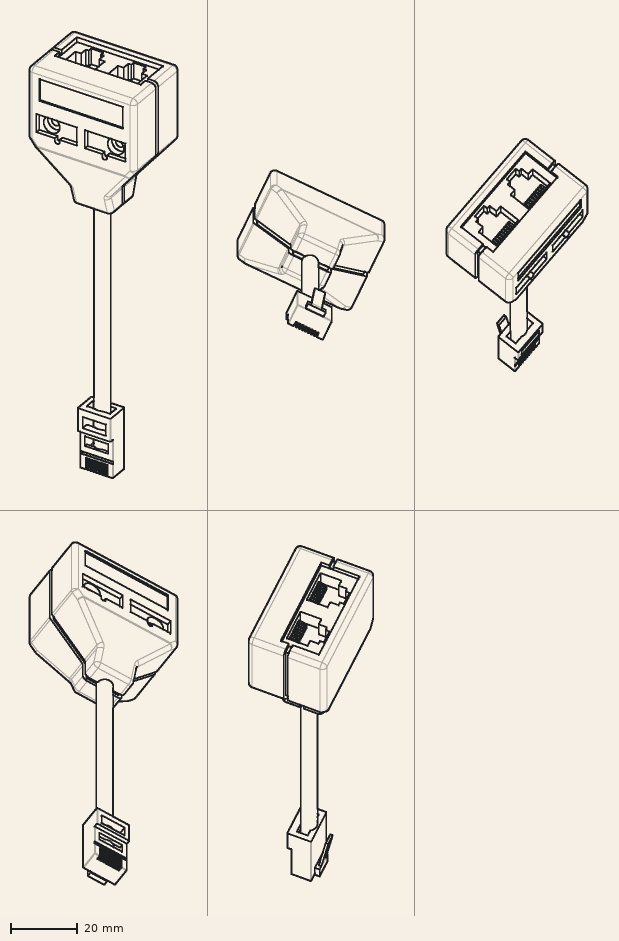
import cadquery as cq


total_height = 142.8
housing_height = 47.8
housing_bottom = total_height - housing_height

housing_width = 38.1
housing_depth = 25.4
neck_width = 14.1
bottom_depth = 12.7
side_taper_top = total_height - 25.4
face_taper_top = total_height - 27.4
neck_top = total_height - 40.3
edge_radius = 1.5

groove_width = 1.3
groove_depth = 1.3
parting_y = -groove_width / 2

front_y = -housing_depth / 2
label_width = 29.8
label_height = 7.7
label_top = total_height - 3.1
label_depth = 0.5
pocket_width = 14.4
pocket_height = 6.4
pocket_gap = 2.9
pocket_top = total_height - 15.8
pocket_depth = 1.5
pocket_x = (pocket_gap + pocket_width) / 2
screw_x = 11.4
screw_z = pocket_top - pocket_height / 2
screw_head_radius = 2.9
screw_head_depth = 2.3
screw_hole_radius = 1.4
screw_hole_depth = 2.1
notch_x = 8.4
notch_width = 1.7
notch_reach = 1.7

jack_width = 30.7
jack_front_y = -3.3
jack_back_y = 9.3
jack_top = total_height - 1.7
jack_height = 8.5
jack_bottom = jack_top - jack_height
outlet_x = 7.5
outlet_depth = 5.5
outlet_front_y = -2.4
outlet_steps = [(10.4, 4.4), (6.4, 7.1), (4.3, 8.4)]
contact_count = 8
contact_pitch = 1.01
outlet_contact_width = 0.64
contact_back_y = 0.1
contact_high = jack_top - 2.9
contact_drop = 0.5

cable_radius = 2.5
cable_y = parting_y
cable_top = neck_top
cable_bottom = 7.1

plug_width = 11.7
plug_bottom = 0.3
plug_top = 22.1
plug_back_y = 2.5
plug_front_y = -5.3
plug_nose_y = -4.0
plug_step_z = 14.0
plug_edge_radius = 0.21
window_width = 8.3
window_spans = [(15.5, 19.5), (8.5, 12.0)]
cavity_front_y = -2.9
cavity_back_y = 0.7
crimp_top = 6.3
crimp_height = 0.9
crimp_depth = 0.1
slot_top = 4.4
slot_width = 0.64
slot_depth = 1.4
blade_bottom = 1.3
blade_width = 0.4
blade_depth = 1.0

latch_width = 6.0
latch_foot_y = 4.1
latch_foot_top = 3.9
arm_width = 3.4
arm_tip_y = 6.4
arm_tip_z = 17.5
arm_thickness = 0.9


def box(x_span, y_span, z_span):
    """Box between the given (low, high) limits."""
    size = [high - low for low, high in (x_span, y_span, z_span)]
    return cq.Workplane("XY").box(*size, centered=False).translate((x_span[0], y_span[0], z_span[0]))


def centred_span(middle, width):
    """(low, high) limits of a width about a middle."""
    return (middle - width / 2, middle + width / 2)


def contact_positions():
    """X of each contact in a row, measured from the middle of the row."""
    return [(i - (contact_count - 1) / 2) * contact_pitch for i in range(contact_count)]


def front_outline():
    """Housing outline in X and Z: a box that narrows to a neck."""
    right = [
        (neck_width / 2, housing_bottom),
        (neck_width / 2, neck_top),
        (housing_width / 2, side_taper_top),
        (housing_width / 2, total_height),
    ]
    left = [(-x, z) for x, z in reversed(right)]
    return cq.Workplane("XZ").polyline(right + left).close()


def side_outline():
    """Housing outline in Y and Z: a box whose front and back lean in."""
    rear = [
        (bottom_depth / 2, housing_bottom),
        (housing_depth / 2, face_taper_top),
        (housing_depth / 2, total_height),
    ]
    front = [(-y, z) for y, z in reversed(rear)]
    return cq.Workplane("YZ").polyline(rear + front).close()


def housing_blank():
    """Rounded outer form of both halves together, with the groove cut round it."""
    form = front_outline().extrude(housing_depth / 2, both=True)
    form = form.intersect(side_outline().extrude(housing_width / 2, both=True))
    form = form.edges().fillet(edge_radius)
    band = box(
        centred_span(0, housing_width),
        centred_span(0, groove_width),
        (housing_bottom, total_height),
    )
    core = front_outline().offset2D(-groove_depth, "intersection").extrude(groove_width / 2, both=True)
    return form.cut(band.cut(core))


def front_recess(x_middle, width, z_top, height, depth):
    """Rectangular recess sunk into the front face."""
    return box(centred_span(x_middle, width), (front_y, front_y + depth), (z_top - height, z_top))


def front_hole(x, z, radius, depth):
    """Round hole sunk from the front face."""
    return cq.Workplane("XZ", origin=(x, front_y, z)).circle(radius).extrude(-depth)


def screw_pocket(side):
    """Pocket on one side (-1 or 1) with its screw seat, screw hole and rounded notch."""
    seat_depth = pocket_depth + screw_head_depth
    notch_round_z = pocket_top - pocket_height - notch_reach + notch_width / 2
    pocket = front_recess(side * pocket_x, pocket_width, pocket_top, pocket_height, pocket_depth)
    hole_end = seat_depth + screw_hole_depth
    pocket = pocket.union(front_hole(side * screw_x, screw_z, screw_head_radius, seat_depth))
    pocket = pocket.union(front_hole(side * screw_x, screw_z, screw_hole_radius, hole_end))
    notch = front_recess(side * notch_x, notch_width, screw_z, screw_z - notch_round_z, pocket_depth)
    notch = notch.union(front_hole(side * notch_x, notch_round_z, notch_width / 2, pocket_depth))
    return pocket.union(notch)


def housing_half(blank, y_span):
    """The part of the housing within y_span, hollowed for the jack and the cable."""
    half = blank.intersect(box(centred_span(0, housing_width), y_span, (housing_bottom, total_height)))
    half = half.cut(jack_space(total_height))
    return half.cut(cable)


def jack_space(top):
    """Block of the jack's plan shape, from the jack's bottom up to the given height."""
    return box(centred_span(0, jack_width), (jack_front_y, jack_back_y), (jack_bottom, top))


def outlet(x):
    """Stepped opening for one plug."""
    z_span = (jack_top - outlet_depth, jack_top)
    opening = cq.Workplane("XY")
    for width, rear_y in outlet_steps:
        opening = opening.union(box(centred_span(x, width), (outlet_front_y, rear_y), z_span))
    return opening


def outlet_contact(x):
    """Contact rib on the front wall of an opening, its top sloping down to the rear."""
    bottom = jack_top - outlet_depth
    side = [
        (outlet_front_y, bottom),
        (contact_back_y, bottom),
        (contact_back_y, contact_high - contact_drop),
        (outlet_front_y, contact_high),
    ]
    rib = cq.Workplane("YZ", origin=(x, 0, 0)).polyline(side).close()
    return rib.extrude(outlet_contact_width / 2, both=True)


def double_jack():
    block = jack_space(jack_top)
    for x in (-outlet_x, outlet_x):
        block = block.cut(outlet(x))
        for offset in contact_positions():
            block = block.union(outlet_contact(x + offset))
    return block


def round_cable():
    length = cable_top - cable_bottom
    return cq.Workplane("XY", origin=(0, cable_y, cable_bottom)).circle(cable_radius).extrude(length)


def plug_body():
    """Stepped block, hollow from the top and open through two front windows."""
    side = [
        (plug_back_y, plug_bottom),
        (plug_back_y, plug_top),
        (plug_front_y, plug_top),
        (plug_front_y, plug_step_z),
        (plug_nose_y, plug_step_z),
        (plug_nose_y, plug_bottom),
    ]
    body = cq.Workplane("YZ").polyline(side).close().extrude(plug_width / 2, both=True)
    body = body.edges("|Z or <Z").fillet(plug_edge_radius)
    across = centred_span(0, window_width)
    body = body.cut(box(across, (cavity_front_y, cavity_back_y), (cable_bottom, plug_top)))
    for z_span in window_spans:
        body = body.cut(box(across, (plug_front_y, cavity_front_y), z_span))
    return body


def crimp_groove():
    """Shallow groove straight across the front of the plug."""
    return box(
        centred_span(0, plug_width),
        (plug_nose_y, plug_nose_y + crimp_depth),
        (crimp_top - crimp_height, crimp_top),
    )


def contact_slot(x):
    """Slot in the front of the plug, open at the bottom, less the blade that stands on its floor."""
    floor_y = plug_nose_y + slot_depth
    slot = box(centred_span(x, slot_width), (plug_nose_y, floor_y), (plug_bottom, slot_top))
    blade = box(centred_span(x, blade_width), (floor_y - blade_depth, floor_y), (blade_bottom, slot_top))
    return slot.cut(blade)


def plug_latch():
    """Foot on the back of the plug and the narrower springy arm that rises from it."""
    foot = box(centred_span(0, latch_width), (plug_back_y, latch_foot_y), (0, latch_foot_top))
    arm_side = [
        (latch_foot_y, latch_foot_top),
        (arm_tip_y, arm_tip_z),
        (arm_tip_y - arm_thickness, arm_tip_z),
        (latch_foot_y - arm_thickness, latch_foot_top),
    ]
    arm = cq.Workplane("YZ").polyline(arm_side).close().extrude(arm_width / 2, both=True)
    return foot.union(arm)


def modular_plug():
    plug = plug_body().cut(crimp_groove())
    for x in contact_positions():
        plug = plug.cut(contact_slot(x))
    return plug.union(plug_latch()).cut(cable)


cable = round_cable()
blank = housing_blank()

front_half = housing_half(blank, (front_y, parting_y)).cut(
    front_recess(0, label_width, label_top, label_height, label_depth)
)
for side in (-1, 1):
    front_half = front_half.cut(screw_pocket(side))

rear_half = housing_half(blank, (parting_y, housing_depth / 2))
jack = double_jack()
plug = modular_plug()

result = cq.Compound.makeCompound([front_half.val(), rear_half.val(), jack.val(), cable.val(), plug.val()])